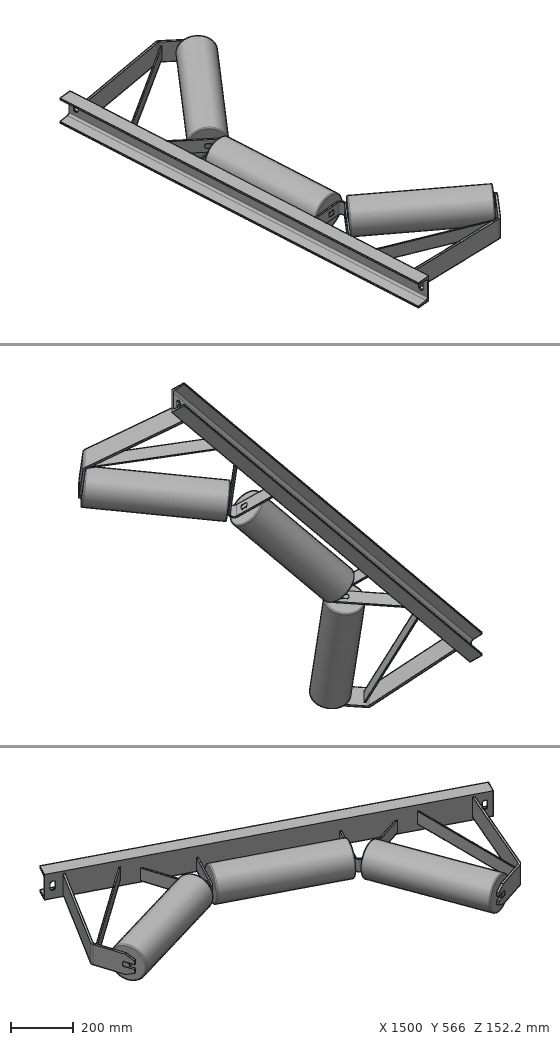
import cadquery as cq
import math


BEAM_LENGTH = 1500.0
BEAM_HEIGHT = 100.0
BEAM_DEPTH = 50.0
WEB_THICKNESS = 6.0
FLANGE_THICKNESS = 8.5
FLANGE_SLOPE = 0.08
ROOT_RADIUS = 8.5
SLOT_WIDTH = 18.0
SLOT_HEIGHT = 36.0
SLOT_END_DISTANCE = 28.0

ROLLER_DIAMETER = 133.0
ROLLER_LENGTH = 465.0
ROLLER_EDGE_RADIUS = 4.0
SHAFT_DIAMETER = 25.0
SHAFT_FLATS = 18.0
SHAFT_PROTRUSION = 1.0
ROLLER_GAP = 4.0

CENTRE_AXIS_Y = 168.0
LOW_AXIS_Z = -19.7
HIGH_AXIS_Z = 0.0
SIDE_INNER_X = -293.0
SIDE_INNER_Y = 192.1
TROUGH_ANGLE = 45.0

INNER_THICKNESS = 6.0
INNER_HEIGHT = 50.0
INNER_BEND_RADIUS = 12.0

OUTER_THICKNESS = 8.0
OUTER_HEIGHT = 80.0
OUTER_BEND_RADIUS = 8.0
OUTER_FOOT_X = -685.0
AXIS_TO_BEND = 124.0
AXIS_TO_TIP = 30.0
TIP_CHAMFER_LENGTH = 32.0
TIP_CHAMFER_HEIGHT = 16.0

BRACE_THICKNESS = 5.0
BRACE_HEIGHT = 50.0
BRACE_FOOT_X = -499.0
BRACE_RISE = 13.0

INNER_OFFSET = ROLLER_GAP + INNER_THICKNESS / 2
OUTER_OFFSET = ROLLER_GAP + OUTER_THICKNESS / 2
INNER_STUB = ROLLER_GAP + INNER_THICKNESS + SHAFT_PROTRUSION
OUTER_STUB = ROLLER_GAP + OUTER_THICKNESS + SHAFT_PROTRUSION

COS_TROUGH = math.cos(math.radians(TROUGH_ANGLE))
SIN_TROUGH = math.sin(math.radians(TROUGH_ANGLE))
SIDE_SPAN = INNER_OFFSET + ROLLER_LENGTH + OUTER_OFFSET
TILT = math.asin((HIGH_AXIS_Z - LOW_AXIS_Z) / SIDE_SPAN)
OUTWARD = cq.Vector(-COS_TROUGH, SIN_TROUGH, 0)
PLATE_UP = cq.Vector(SIN_TROUGH, COS_TROUGH, 0)
SIDE_AXIS = OUTWARD * math.cos(TILT) + cq.Vector(0, 0, math.sin(TILT))
SIDE_START = cq.Vector(SIDE_INNER_X, SIDE_INNER_Y, LOW_AXIS_Z + INNER_OFFSET * math.sin(TILT))
SIDE_END = SIDE_START + SIDE_AXIS * ROLLER_LENGTH
INNER_PLATE_CENTRE = SIDE_START - SIDE_AXIS * INNER_OFFSET
OUTER_PLATE_CENTRE = SIDE_END + SIDE_AXIS * OUTER_OFFSET
OUTER_BEND = OUTER_PLATE_CENTRE - PLATE_UP * AXIS_TO_BEND
CENTRE_START = cq.Vector(-ROLLER_LENGTH / 2, CENTRE_AXIS_Y, LOW_AXIS_Z)

SIDE_FRAME = cq.Plane(SIDE_START, PLATE_UP, SIDE_AXIS)
CENTRE_FRAME = cq.Plane(CENTRE_START, (0, 1, 0), (1, 0, 0))


def shaft_end(frame, start, length):
    """A shaft piece with two flats, from `start` along the frame's normal."""
    base = cq.Workplane(frame).workplane(offset=start)
    between_flats = base.rect(SHAFT_DIAMETER, SHAFT_FLATS).extrude(length)
    return base.circle(SHAFT_DIAMETER / 2).extrude(length).intersect(between_flats)


def make_roller(frame, start_stub, end_stub):
    """Roller with its shaft; the stubs are the shaft lengths beyond the roller ends."""
    shell = cq.Workplane(frame).circle(ROLLER_DIAMETER / 2).extrude(ROLLER_LENGTH)
    shell = shell.edges("%CIRCLE").fillet(ROLLER_EDGE_RADIUS)
    roller = shell.union(shaft_end(frame, -start_stub, start_stub))
    return roller.union(shaft_end(frame, ROLLER_LENGTH, end_stub))


def make_beam():
    """Channel with tapered flanges and one upright slot through the web near each end."""
    mid_depth = BEAM_DEPTH / 2
    half_height = BEAM_HEIGHT / 2
    web_y = BEAM_DEPTH - WEB_THICKNESS
    toe_z = half_height - FLANGE_THICKNESS + FLANGE_SLOPE * mid_depth
    root_z = half_height - FLANGE_THICKNESS - FLANGE_SLOPE * (web_y - mid_depth)
    beam = (
        cq.Workplane("YZ")
        .moveTo(BEAM_DEPTH, -half_height)
        .lineTo(BEAM_DEPTH, half_height)
        .lineTo(0, half_height)
        .lineTo(0, toe_z)
        .lineTo(web_y, root_z)
        .lineTo(web_y, -root_z)
        .lineTo(0, -toe_z)
        .lineTo(0, -half_height)
        .close()
        .extrude(BEAM_LENGTH / 2, both=True)
    )
    for corner_z in (-root_z, root_z):
        root = cq.selectors.NearestToPointSelector((0, web_y, corner_z))
        beam = beam.edges("|X").edges(root).fillet(ROOT_RADIUS)
    slot_x = BEAM_LENGTH / 2 - SLOT_END_DISTANCE
    slots = (
        cq.Workplane("XZ", origin=(0, BEAM_DEPTH, 0))
        .pushPoints([(-slot_x, 0), (slot_x, 0)])
        .slot2D(SLOT_HEIGHT, SLOT_WIDTH, 90)
        .extrude(WEB_THICKNESS)
    )
    return beam.cut(slots)


def foot_offset(side):
    """Half of a bar's cut end where it stands on the beam, along X, for a half-thickness vector."""
    return cq.Vector(side.dot(side) / side.x, 0, 0)


def bar_prism(corners, height, centre_z):
    """Prism along Z over a polygon, centred on a height."""
    points = [(corner.x, corner.y) for corner in corners]
    return cq.Workplane("XY", origin=(0, 0, centre_z - height / 2)).polyline(points).close().extrude(height)


def half_thickness(start, end, thickness):
    """Vector from a bar's middle line to its left face, looking from start to end."""
    along = (end - start).normalized()
    return cq.Vector(-along.y, along.x, 0) * (thickness / 2)


def bent_bar(foot, bend, end, thickness, height, centre_z, bend_radius, end_on_beam):
    """A flat bar on edge with one rounded bend; its middle line runs foot, bend, end."""
    first_side = half_thickness(foot, bend, thickness)
    last_side = half_thickness(bend, end, thickness)
    mitre = (first_side + last_side).normalized()
    mitre = mitre * (first_side.dot(first_side) / mitre.dot(first_side))
    start_cut = foot_offset(first_side)
    end_cut = foot_offset(last_side) if end_on_beam else last_side
    left_face = [foot + start_cut, bend + mitre, end + end_cut]
    right_face = [end - end_cut, bend - mitre, foot - start_cut]
    bar = bar_prism(left_face + right_face, height, centre_z)
    turns_left = (bend - foot).cross(end - bend).z > 0
    inside = mitre if turns_left else mitre * -1
    for corner, radius in ((bend + inside, bend_radius), (bend - inside, bend_radius + thickness)):
        edge = cq.selectors.NearestToPointSelector((corner.x, corner.y, centre_z))
        bar = bar.edges("|Z").edges(edge).fillet(radius)
    return bar


def flat_point(point):
    """The point's X and Y, on the XY plane."""
    return cq.Vector(point.x, point.y, 0)


def make_inner_bracket():
    """Upright leg at the centre roller and sloped arm at the left roller, both standing on the beam."""
    plate = flat_point(INNER_PLATE_CENTRE)
    upright_x = -ROLLER_LENGTH / 2 - INNER_OFFSET
    foot = cq.Vector(upright_x, BEAM_DEPTH, 0)
    bend = plate + PLATE_UP * ((upright_x - plate.x) / PLATE_UP.x)
    arm_foot = plate - PLATE_UP * ((plate.y - BEAM_DEPTH) / PLATE_UP.y)
    bracket = bent_bar(
        foot, bend, arm_foot, INNER_THICKNESS, INNER_HEIGHT, LOW_AXIS_Z, INNER_BEND_RADIUS, True
    )
    bracket = bracket.cut(shaft_end(CENTRE_FRAME, -INNER_STUB, INNER_STUB))
    return bracket.cut(shaft_end(SIDE_FRAME, -INNER_STUB, INNER_STUB))


def make_outer_bracket():
    """Bent bar from the beam to the outer shaft end, open at its tip so that the shaft slides in."""
    bend = flat_point(OUTER_BEND)
    tip = bend + PLATE_UP * (AXIS_TO_BEND + AXIS_TO_TIP)
    foot = cq.Vector(OUTER_FOOT_X, BEAM_DEPTH, 0)
    bracket = bent_bar(
        foot, bend, tip, OUTER_THICKNESS, OUTER_HEIGHT, HIGH_AXIS_Z, OUTER_BEND_RADIUS, False
    )
    half_height = OUTER_HEIGHT / 2
    tip_frame = cq.Plane(tip, PLATE_UP, OUTWARD)
    for side in (-1, 1):
        corner = (
            cq.Workplane(tip_frame)
            .moveTo(0, side * half_height)
            .lineTo(-TIP_CHAMFER_LENGTH, side * half_height)
            .lineTo(0, side * (half_height - TIP_CHAMFER_HEIGHT))
            .close()
            .extrude(OUTER_THICKNESS, both=True)
        )
        bracket = bracket.cut(corner)
    notch = (
        cq.Workplane(SIDE_FRAME)
        .workplane(offset=ROLLER_LENGTH)
        .center(AXIS_TO_TIP, 0)
        .rect(2 * AXIS_TO_TIP, SHAFT_FLATS)
        .extrude(OUTER_STUB)
    )
    return bracket.cut(notch).cut(shaft_end(SIDE_FRAME, ROLLER_LENGTH, OUTER_STUB))


def make_brace(outer_bracket):
    """Straight bar from the beam to the inside of the outer bracket's bend."""
    foot = cq.Vector(BRACE_FOOT_X, BEAM_DEPTH, 0)
    top = flat_point(OUTER_BEND) + PLATE_UP * BRACE_RISE
    side = half_thickness(foot, top, BRACE_THICKNESS)
    cut = foot_offset(side)
    brace = bar_prism([foot + cut, top + side, top - side, foot - cut], BRACE_HEIGHT, HIGH_AXIS_Z)
    return brace.cut(outer_bracket)


beam = make_beam()
centre_roller = make_roller(CENTRE_FRAME, INNER_STUB, INNER_STUB)
side_roller = make_roller(SIDE_FRAME, INNER_STUB, OUTER_STUB)
inner_bracket = make_inner_bracket()
outer_bracket = make_outer_bracket()
brace = make_brace(outer_bracket)

bodies = [beam.val(), centre_roller.val()]
for left_body in (side_roller, inner_bracket, outer_bracket, brace):
    right_body = left_body.mirror("YZ")
    bodies.append(left_body.val())
    bodies.append(right_body.val())

result = cq.Compound.makeCompound(bodies)